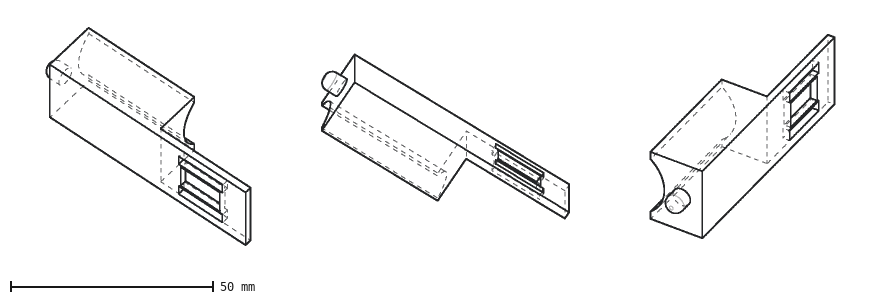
import cadquery as cq

total_length = 68.0
depth = 15.0
height = 21.0

pin_length = 5.0
pin_diameter = 5.0
pin_tip_radius = 2.0
pin_y = 6.0

block_length = 34.0
plate_thickness = 2.0
scallop_radius = height / 2
scallop_depth = 4.0

slot_length = 14.0
slot_end_gap = 7.5
slots_outer_span = 14.95
slots_inner_span = 8.8
window_length = 12.5
window_height = 7.55
window_end_gap = 8.35

body_length = total_length - pin_length


def box_from_origin(length, width):
    """Full-height box from the X = 0, Y = 0 edge, centred on Z."""
    return cq.Workplane("XY").box(length, width, height, centered=(False, False, True))


def plate_opening(length, opening_height, end_gap, z_center):
    """Rectangular cutter through the plate, placed from the plate's free end."""
    x_center = body_length - end_gap - length / 2
    opening = cq.Workplane("XY").box(
        length, plate_thickness, opening_height, centered=(True, False, True)
    )
    return opening.translate((x_center, 0, z_center))


body = box_from_origin(block_length, depth).union(box_from_origin(body_length, plate_thickness))

scallop_axis_y = depth - scallop_depth + scallop_radius
scallop = (
    cq.Workplane("YZ")
    .center(scallop_axis_y, 0)
    .circle(scallop_radius)
    .extrude(block_length)
)
body = body.cut(scallop)

body = body.cut(plate_opening(window_length, window_height, window_end_gap, 0))
slot_height = (slots_outer_span - slots_inner_span) / 2
slot_z = (slots_outer_span + slots_inner_span) / 4
for side in (-1, 1):
    body = body.cut(plate_opening(slot_length, slot_height, slot_end_gap, side * slot_z))

pin = (
    cq.Workplane("YZ")
    .center(pin_y, 0)
    .circle(pin_diameter / 2)
    .extrude(-pin_length)
    .faces("<X")
    .edges()
    .fillet(pin_tip_radius)
)

result = body.union(pin)